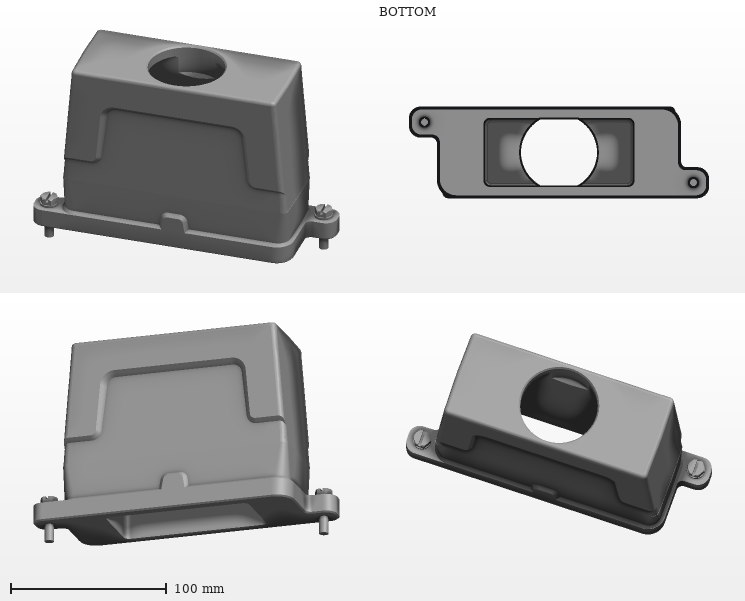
import cadquery as cq

LENGTH = 192.0
WIDTH = 58.0
HEIGHT = 119.2
HALF_WIDTH = WIDTH / 2
OVERLAP = 2.0

FLANGE_TOP = 12.3
FLANGE_HALF_LENGTH = 78.0
FLANGE_CORNER_RADIUS = 11.5
FLANGE_BOTTOM_CHAMFER = 1.0
BEVEL_HEIGHT = 2.0

EAR_WIDTH = 19.0
EAR_CORNER_RADIUS = 7.5
EAR_ROOT_RADIUS = 3.8

SKIRT_INSET = 2.3
SKIRT_HALF_WIDTH = HALF_WIDTH - SKIRT_INSET
SPLIT_HEIGHT = 37.0
SKIRT_HALF_LENGTH = 76.2
HOOD_HALF_LENGTH = 76.0
ROOF_HALF_LENGTH = 69.3
END_SLOPE = 0.02
SKIRT_FOOT_RADIUS = 8.3
SPLIT_CORNER_RADIUS = 4.0
ROOF_FILLET = 2.3

PANEL_CORNER_RADIUS = 3.0
PANEL_BOTTOM = 54.5
WINDOW_TOP = 97.3
WINDOW_TOP_HALF = 48.2
WINDOW_BOTTOM_HALF = 52.2
WINDOW_TOP_RADIUS = 9.6
WINDOW_BOTTOM_RADIUS = 3.8
PANEL_ROOT = 6.1
WALL_TOP = 99.8
WALL_LEAN = 1.3
WALL_TOP_RADIUS = 1.2

ARCH_TOP = 21.9
ARCH_FOOT_HALF = 8.3
ARCH_TOP_HALF = 6.1
ARCH_RADIUS = 2.9

CAVITY_HALF_LENGTH = 48.0
CAVITY_HALF_WIDTH = 21.7
CAVITY_CEILING = 112.3
CAVITY_CORNER_RADIUS = 3.8
CAVITY_CEILING_FILLET = 2.0
ENTRY_RADIUS = 25.0
ENTRY_DEPTH = 19.2
ENTRY_RIM_CHAMFER = 1.0
ENTRY_TIP_SLOPE = 0.6

SCREW_X = 86.4
SCREW_Y = 19.4
COLLAR_DIAMETER = 12.0
COLLAR_HEIGHT = 1.5
HEX_CORNER_DIAMETER = 12.0
HEX_HEIGHT = 4.2
HEX_CORNER_CHAMFER = 0.8
SLOT_WIDTH = 1.7
SLOT_DEPTH = 2.1
SHANK_DIAMETER = 6.1
NECK_DIAMETER = 5.4
NECK_LENGTH = 1.7
SHANK_TIP = -11.3


def rounded_polygon(points, corner_radii, plane="XY", offset=0.0):
    """Closed wire through the points; corner_radii maps a point index to its rounding radius."""
    workplane = cq.Workplane(plane).workplane(offset=offset)
    face = cq.Face.makeFromWires(workplane.polyline(points).close().val())
    for index, radius in corner_radii.items():
        corner = workplane.plane.toWorldCoords(points[index])
        vertex = min(face.Vertices(), key=lambda v: (v.Center() - corner).Length)
        face = face.fillet2D(radius, [vertex])
    return face.outerWire()


def loft(lower, upper):
    return cq.Workplane(obj=cq.Solid.makeLoft([lower, upper], True))


def hood_section(half_length, half_width, radius, height):
    """Rectangle with rounded corners and a slight ridge on each end; half_length is to the ridge."""
    corner_x = half_length - END_SLOPE * half_width
    points = [
        (corner_x, -half_width),
        (half_length, 0),
        (corner_x, half_width),
        (-corner_x, half_width),
        (-half_length, 0),
        (-corner_x, -half_width),
    ]
    return rounded_polygon(points, {0: radius, 2: radius, 3: radius, 5: radius}, offset=height)


def make_ear():
    """Ear at the -X, -Y end of the flange, with a rounded root."""
    ear_length = LENGTH / 2 - FLANGE_HALF_LENGTH + FLANGE_CORNER_RADIUS + EAR_ROOT_RADIUS
    ear = (
        cq.Workplane("XY")
        .box(ear_length, EAR_WIDTH, FLANGE_TOP, centered=False)
        .edges("|Z and <X")
        .fillet(EAR_CORNER_RADIUS)
        .translate((-LENGTH / 2, -HALF_WIDTH, 0))
    )
    root_y = EAR_WIDTH - HALF_WIDTH
    root = (
        cq.Workplane("XY")
        .moveTo(-FLANGE_HALF_LENGTH, root_y)
        .lineTo(-FLANGE_HALF_LENGTH - EAR_ROOT_RADIUS, root_y)
        .radiusArc((-FLANGE_HALF_LENGTH, root_y + EAR_ROOT_RADIUS), -EAR_ROOT_RADIUS)
        .close()
        .extrude(FLANGE_TOP)
    )
    return ear.union(root)


def make_flange():
    plate = (
        cq.Workplane("XY")
        .rect(2 * FLANGE_HALF_LENGTH, WIDTH)
        .extrude(FLANGE_TOP)
        .edges("|Z")
        .fillet(FLANGE_CORNER_RADIUS)
    )
    ear = make_ear()
    plate = plate.union(ear).union(ear.rotate((0, 0, 0), (0, 0, 1), 180)).clean()
    return plate.faces("<Z").edges().chamfer(FLANGE_BOTTOM_CHAMFER)


def make_skirt():
    """Sloped shoulder on the flange and the vertical skirt whose corner rounding shrinks upwards."""
    foot = FLANGE_TOP + BEVEL_HEIGHT
    shoulder_bottom = hood_section(FLANGE_HALF_LENGTH, HALF_WIDTH, FLANGE_CORNER_RADIUS, FLANGE_TOP)
    skirt_bottom = hood_section(SKIRT_HALF_LENGTH, SKIRT_HALF_WIDTH, SKIRT_FOOT_RADIUS, foot)
    skirt_top = hood_section(SKIRT_HALF_LENGTH, SKIRT_HALF_WIDTH, SPLIT_CORNER_RADIUS, SPLIT_HEIGHT)
    return loft(shoulder_bottom, skirt_bottom).union(loft(skirt_bottom, skirt_top))


def hood_half_length(height):
    """Half length of the tapered hood at a height between the split line and the roof."""
    rise = (height - SPLIT_HEIGHT) / (HEIGHT - SPLIT_HEIGHT)
    return HOOD_HALF_LENGTH + (ROOF_HALF_LENGTH - HOOD_HALF_LENGTH) * rise


def make_leaning_walls():
    """Hood body between the raised panels, its side walls leaning slightly inwards."""
    top_length = hood_half_length(WALL_TOP)
    bottom = hood_section(HOOD_HALF_LENGTH, SKIRT_HALF_WIDTH, SPLIT_CORNER_RADIUS, SPLIT_HEIGHT)
    top = hood_section(top_length, SKIRT_HALF_WIDTH - WALL_LEAN, WALL_TOP_RADIUS, WALL_TOP)
    return loft(bottom, top)


def panel_outline(growth):
    """Outline of a panel above its window, grown by an equal depth into the body."""
    outside = LENGTH / 2
    above = HEIGHT + OVERLAP
    window_top = WINDOW_TOP - growth
    panel_bottom = PANEL_BOTTOM - growth
    top_half = WINDOW_TOP_HALF - growth
    bottom_half = WINDOW_BOTTOM_HALF - growth
    top_radius = WINDOW_TOP_RADIUS - growth
    bottom_radius = WINDOW_BOTTOM_RADIUS + growth
    points = [
        (-outside, above),
        (-outside, panel_bottom),
        (-bottom_half, panel_bottom),
        (-top_half, window_top),
        (top_half, window_top),
        (bottom_half, panel_bottom),
        (outside, panel_bottom),
        (outside, above),
    ]
    radii = {2: bottom_radius, 3: top_radius, 4: top_radius, 5: bottom_radius}
    return rounded_polygon(points, radii, "XZ", HALF_WIDTH - growth)


def make_panels():
    """Roof, upper end walls and the panels standing proud of the side walls."""
    bottom = hood_section(HOOD_HALF_LENGTH, HALF_WIDTH, PANEL_CORNER_RADIUS, SPLIT_HEIGHT)
    roof = hood_section(ROOF_HALF_LENGTH, HALF_WIDTH, PANEL_CORNER_RADIUS, HEIGHT)
    blank = loft(bottom, roof).faces(">Z").edges().fillet(ROOF_FILLET)
    panel = loft(panel_outline(PANEL_ROOT), panel_outline(0))
    root_height = PANEL_BOTTOM - PANEL_ROOT
    middle = (
        cq.Workplane("XY", (0, 0, root_height))
        .rect(LENGTH, 2 * (HALF_WIDTH - PANEL_ROOT))
        .extrude(HEIGHT - root_height)
    )
    return blank.intersect(middle.union(panel).union(panel.mirror("XZ")))


def make_arch():
    """Bevelled arch rising from the flange edge at mid length."""

    def outline(growth):
        points = [
            (-ARCH_FOOT_HALF - growth, FLANGE_TOP - OVERLAP),
            (-ARCH_TOP_HALF - growth, ARCH_TOP + growth),
            (ARCH_TOP_HALF + growth, ARCH_TOP + growth),
            (ARCH_FOOT_HALF + growth, FLANGE_TOP - OVERLAP),
        ]
        radius = ARCH_RADIUS + growth
        return rounded_polygon(points, {1: radius, 2: radius}, "XZ", HALF_WIDTH - growth)

    return loft(outline(SKIRT_INSET), outline(0))


def make_cavity():
    room = (
        cq.Workplane("XY")
        .rect(2 * CAVITY_HALF_LENGTH, 2 * CAVITY_HALF_WIDTH)
        .extrude(CAVITY_CEILING)
        .edges("|Z")
        .fillet(CAVITY_CORNER_RADIUS)
        .faces(">Z")
        .edges()
        .fillet(CAVITY_CEILING_FILLET)
    )
    entry_bottom = HEIGHT - ENTRY_DEPTH
    entry = (
        cq.Workplane("XZ")
        .moveTo(0, HEIGHT)
        .lineTo(ENTRY_RADIUS + ENTRY_RIM_CHAMFER, HEIGHT)
        .lineTo(ENTRY_RADIUS, HEIGHT - ENTRY_RIM_CHAMFER)
        .lineTo(ENTRY_RADIUS, entry_bottom)
        .lineTo(0, entry_bottom - ENTRY_RADIUS * ENTRY_TIP_SLOPE)
        .close()
        .revolve(360, (0, 0, 0), (0, 1, 0))
    )
    return room.union(entry)


def make_screw():
    """Slotted hexagon screw on the Z axis, seated on the flange top."""
    seat = FLANGE_TOP + COLLAR_HEIGHT
    head_top = seat + HEX_HEIGHT

    def cylinder(diameter, bottom, top):
        return cq.Workplane("XY", (0, 0, bottom)).circle(diameter / 2).extrude(top - bottom)

    shank = cylinder(SHANK_DIAMETER, SHANK_TIP, -NECK_LENGTH)
    neck = cylinder(NECK_DIAMETER, -NECK_LENGTH, seat)
    collar = cylinder(COLLAR_DIAMETER, FLANGE_TOP, seat)
    hexagon = cq.Workplane("XY", (0, 0, seat)).polygon(6, HEX_CORNER_DIAMETER).extrude(HEX_HEIGHT)
    envelope = cylinder(HEX_CORNER_DIAMETER, seat, head_top).faces(">Z").chamfer(HEX_CORNER_CHAMFER)
    slot = (
        cq.Workplane("XY", (0, 0, head_top - SLOT_DEPTH))
        .rect(SLOT_WIDTH, HEX_CORNER_DIAMETER)
        .extrude(SLOT_DEPTH)
    )
    head = hexagon.intersect(envelope).cut(slot)
    return shank.union(neck).union(collar).union(head)


arch = make_arch()
screw = make_screw()
result = make_flange().union(make_skirt())
result = result.union(make_leaning_walls()).union(make_panels()).clean()
result = result.union(arch).union(arch.mirror("XZ"))
result = result.cut(make_cavity())
for side in (-1, 1):
    result = result.union(screw.translate((side * SCREW_X, side * SCREW_Y, 0)))